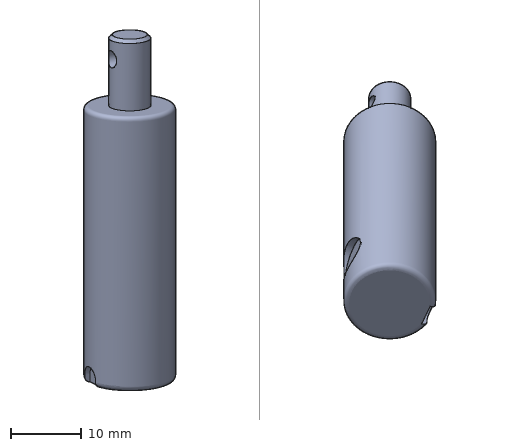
import cadquery as cq

total_height = 51.05
housing_diameter = 13.1
housing_height = 40.55
rod_diameter = 6.0

housing_top_round = 0.65
housing_bottom_round = 0.8
rod_tip_chamfer = 0.5

cross_hole_diameter = 2.5
cross_hole_z = 47.75

recess_depth = 1.0
rear_recess_diameter = 6.35
rear_recess_z = 7.85
front_notch_width = 3.25
front_notch_arc_z = 1.1

housing_radius = housing_diameter / 2
rod_length = total_height - housing_height


def cylinder_along_y(diameter, center_z, start_y, length):
    """Cylinder parallel to Y that runs from start_y towards +Y."""
    return cq.Workplane(
        cq.Solid.makeCylinder(
            diameter / 2, length, cq.Vector(0, start_y, center_z), cq.Vector(0, 1, 0)
        )
    )


def make_front_notch():
    """Cutter for the notch: straight sides rising from the base to a half-round top."""
    half_width = front_notch_width / 2
    return (
        cq.Workplane("XZ", origin=(0, -housing_radius, 0))
        .moveTo(-half_width, 0)
        .lineTo(-half_width, front_notch_arc_z)
        .threePointArc((0, front_notch_arc_z + half_width), (half_width, front_notch_arc_z))
        .lineTo(half_width, 0)
        .close()
        .extrude(-recess_depth)
    )


def make_housing():
    """Round housing with rounded rims, a rear recess and a notch at the front of its base."""
    body = cq.Workplane("XY").circle(housing_radius).extrude(housing_height)
    body = body.faces(">Z").edges().fillet(housing_top_round)
    body = body.faces("<Z").edges().fillet(housing_bottom_round)
    rear_recess = cylinder_along_y(
        rear_recess_diameter, rear_recess_z, housing_radius - recess_depth, recess_depth
    )
    return body.cut(rear_recess).cut(make_front_notch())


def make_rod():
    """Rod standing on the housing's top face, with a chamfered tip and a cross hole."""
    shoulder = cq.Workplane("XY").workplane(offset=housing_height)
    body = shoulder.circle(rod_diameter / 2).extrude(rod_length)
    body = body.faces(">Z").edges().chamfer(rod_tip_chamfer)
    cross_hole = cylinder_along_y(
        cross_hole_diameter, cross_hole_z, -rod_diameter / 2, rod_diameter
    )
    return body.cut(cross_hole)


housing = make_housing()
rod = make_rod()
result = cq.Compound.makeCompound([housing.val(), rod.val()])